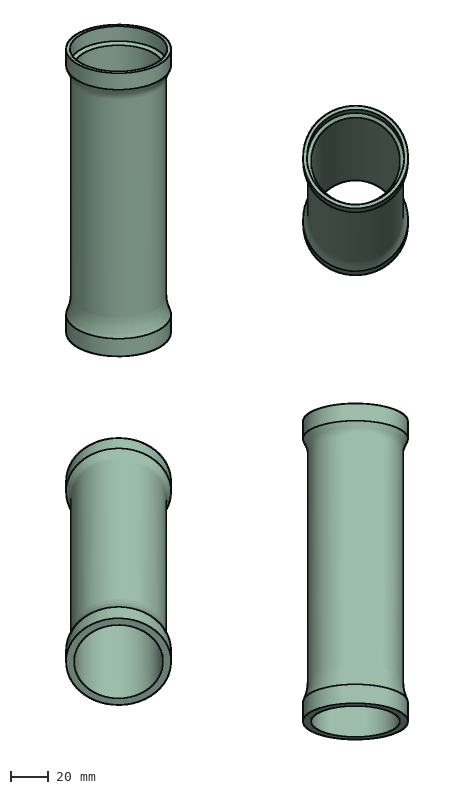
import cadquery as cq
import math

length = 170.0
collar_radius = 56.0 / 2
body_radius = 25.5
bore_radius = 23.6

top_collar_height = 9.9
top_cone_angle = math.radians(25)
top_fillet_radius = 8.5
bottom_collar_height = 10.7
bottom_cone_angle = math.radians(20.5)
bottom_fillet_radius = 26.4

socket_radius = 25.8
socket_depth = 8.8
seat_height = 1.4


def collar_transition(end_z, inward, collar_height, cone_angle, fillet_radius):
    """Points (r, z) from the collar edge to the body: collar edge, cone end, arc middle, body.

    inward is +1 when the body lies above the collar and -1 when it lies below.
    """
    def fillet_rise(angle):
        return fillet_radius * (1 - math.cos(angle))

    cone_height = (collar_radius - body_radius - fillet_rise(cone_angle)) / math.tan(cone_angle)
    body_distance = collar_height + cone_height + fillet_radius * math.sin(cone_angle)

    def fillet_point(angle):
        distance = body_distance - fillet_radius * math.sin(angle)
        return (body_radius + fillet_rise(angle), end_z + inward * distance)

    collar_edge = (collar_radius, end_z + inward * collar_height)
    return collar_edge, fillet_point(cone_angle), fillet_point(cone_angle / 2), fillet_point(0)


bottom_edge, bottom_cone_end, bottom_arc_mid, body_bottom = collar_transition(
    0, 1, bottom_collar_height, bottom_cone_angle, bottom_fillet_radius
)
top_edge, top_cone_end, top_arc_mid, body_top = collar_transition(
    length, -1, top_collar_height, top_cone_angle, top_fillet_radius
)
socket_floor = length - socket_depth

wall_section = (
    cq.Workplane("XZ")
    .moveTo(bore_radius, 0)
    .lineTo(collar_radius, 0)
    .lineTo(*bottom_edge)
    .lineTo(*bottom_cone_end)
    .threePointArc(bottom_arc_mid, body_bottom)
    .lineTo(*body_top)
    .threePointArc(top_arc_mid, top_cone_end)
    .lineTo(*top_edge)
    .lineTo(collar_radius, length)
    .lineTo(socket_radius, length)
    .lineTo(socket_radius, socket_floor)
    .lineTo(bore_radius, socket_floor - seat_height)
    .close()
)

result = wall_section.revolve(360, (0, 0, 0), (0, 1, 0))